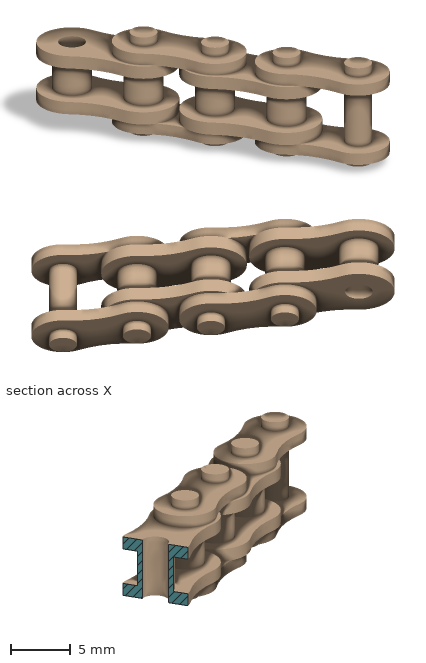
import cadquery as cq
import math

chain_length = 31.03
chain_height = 9.0
inner_link_width = 6.0
inner_waist_width = 5.1
outer_link_width = 5.3
outer_waist_width = 4.35
inner_plate_thickness = 1.12
outer_plate_thickness = 1.02
roller_length = 3.07
roller_diameter = 3.32
pin_diameter = 2.33
joint_count = 5

pitch = (chain_length - inner_link_width / 2 - outer_link_width / 2) / (joint_count - 1)
first_joint = (inner_link_width - chain_length) / 2
joints = [first_joint + i * pitch for i in range(joint_count)]

inner_plate_bottom = roller_length / 2
outer_plate_bottom = inner_plate_bottom + inner_plate_thickness


def centred_cylinder(x, diameter, height):
    """Vertical cylinder at x, centred on the mid-plane."""
    return cq.Workplane("XY").center(x, 0).cylinder(height, diameter / 2)


def link_plate(start_joint, width, waist_width, bottom, thickness):
    """Plate with two round ends joined by hollow arcs tangent to both."""
    radius = width / 2
    waist = waist_width / 2
    half_pitch = pitch / 2

    hollow_radius = (half_pitch**2 + waist**2 - radius**2) / (2 * (radius - waist))
    tangent_angle = math.asin(half_pitch / (radius + hollow_radius))
    tangent_x = half_pitch - radius * math.sin(tangent_angle)
    tangent_y = radius * math.cos(tangent_angle)
    end_x = half_pitch + radius

    return (
        cq.Workplane("XY", origin=(start_joint + half_pitch, 0, bottom))
        .moveTo(-tangent_x, tangent_y)
        .threePointArc((0, waist), (tangent_x, tangent_y))
        .threePointArc((end_x, 0), (tangent_x, -tangent_y))
        .threePointArc((0, -waist), (-tangent_x, -tangent_y))
        .threePointArc((-end_x, 0), (-tangent_x, tangent_y))
        .close()
        .extrude(thickness)
    )


def plate_pair(start_joint, width, waist_width, bottom, thickness):
    """Matching plates above and below the mid-plane."""
    upper = link_plate(start_joint, width, waist_width, bottom, thickness)
    return upper.union(upper.mirror("XY"))


chain = cq.Workplane("XY")

for joint in joints[0:-1:2]:
    chain = chain.union(
        plate_pair(joint, inner_link_width, inner_waist_width, inner_plate_bottom, inner_plate_thickness)
    )

for joint in joints[1:-1:2]:
    chain = chain.union(
        plate_pair(joint, outer_link_width, outer_waist_width, outer_plate_bottom, outer_plate_thickness)
    )

for joint in joints[:-1]:
    chain = chain.union(centred_cylinder(joint, roller_diameter, roller_length))

chain = chain.cut(centred_cylinder(first_joint, pin_diameter, chain_height))
for joint in joints[1:]:
    chain = chain.union(centred_cylinder(joint, pin_diameter, chain_height))

result = chain